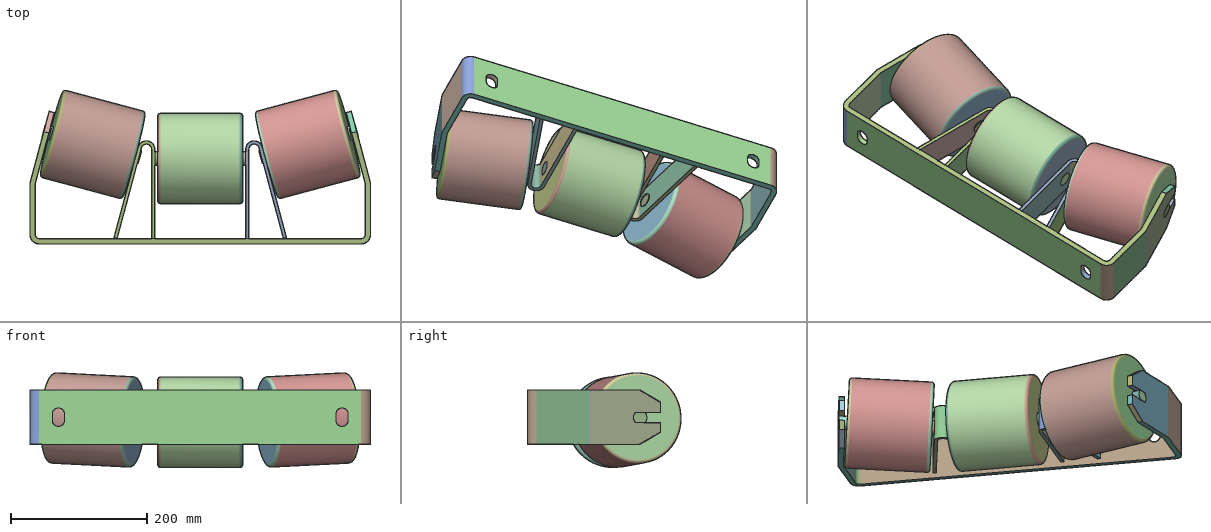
import cadquery as cq
import math

LENGTH = 500.0
BRACKET_WIDTH = 80.0
BRACKET_THICKNESS = 8.0
BEND_RADIUS = 14.0
ARM_BEND_Y = 87.5
TIP_LENGTH = 107.5
LEAN_ANGLE = 15.0
TIP_CHAMFER_ALONG = 31.0
TIP_CHAMFER_ACROSS = 17.5

MOUNT_SLOT_X = 208.0
MOUNT_SLOT_WIDTH = 18.0
MOUNT_SLOT_LENGTH = 27.0

ROLLER_DIAMETER = 133.0
ROLLER_LENGTH = 125.0
ROLLER_FILLET = 4.5
AXLE_DIAMETER = 20.5
AXLE_FLATS = 15.0
FLAT_LEAD = 1.5
END_GAP = 4.0

MIDDLE_ROLLER_Y = 125.5
MIDDLE_ROLLER_Z = -7.5
SIDE_AXLE_Y = 165.5
SIDE_AXLE_Z = -0.5
SIDE_TILT = 2.8

DIVIDER_THICKNESS = 5.0
DIVIDER_WIDTH = 50.0
DIVIDER_BEND_RADIUS = 12.5
DIVIDER_BEND_Y = 139.0

LEAN = math.radians(LEAN_ANGLE)
TILT = math.radians(SIDE_TILT)
ARM_BEND_X = LENGTH / 2 - BEND_RADIUS
HALF_ROLLER = ROLLER_LENGTH / 2
INNER_STUB = END_GAP + DIVIDER_THICKNESS
OUTER_STUB = END_GAP + BRACKET_THICKNESS
FLATS_START = HALF_ROLLER + END_GAP - FLAT_LEAD
FLATS_LENGTH = FLAT_LEAD + BRACKET_THICKNESS
DIVIDER_BEND_X = HALF_ROLLER + END_GAP + DIVIDER_BEND_RADIUS


def leaning_point(center_x, center_y, radius, angle, along=0.0):
    """The point at `angle` on a bend, moved `along` its tangent."""
    return (
        center_x + radius * math.cos(angle) - along * math.sin(angle),
        center_y + radius * math.sin(angle) + along * math.cos(angle),
    )


def side_axis_frame():
    """Axis of the +X side roller; local X points to the back plate, along the arm tip."""
    bend_end_x, bend_end_y = leaning_point(ARM_BEND_X, ARM_BEND_Y, BEND_RADIUS, LEAN)
    axle_end_x = bend_end_x - (SIDE_AXLE_Y - bend_end_y) * math.tan(LEAN)
    axle_end = cq.Vector(axle_end_x, SIDE_AXLE_Y, SIDE_AXLE_Z)
    axis = cq.Vector(
        math.cos(LEAN) * math.cos(TILT),
        math.sin(LEAN) * math.cos(TILT),
        math.sin(TILT),
    )
    center = axle_end - axis * (HALF_ROLLER + OUTER_STUB)
    return cq.Plane(origin=center, xDir=(math.sin(LEAN), -math.cos(LEAN), 0), normal=axis)


MIDDLE_FRAME = cq.Plane(origin=(0, MIDDLE_ROLLER_Y, MIDDLE_ROLLER_Z), xDir=(0, 0, 1), normal=(1, 0, 0))
SIDE_FRAME = side_axis_frame()


def drum(frame):
    return (
        cq.Workplane(frame)
        .workplane(offset=-HALF_ROLLER)
        .circle(ROLLER_DIAMETER / 2)
        .extrude(ROLLER_LENGTH)
        .edges("%CIRCLE")
        .fillet(ROLLER_FILLET)
    )


def round_axle(frame, inner_length, outer_length):
    return (
        cq.Workplane(frame)
        .workplane(offset=-inner_length)
        .circle(AXLE_DIAMETER / 2)
        .extrude(inner_length + outer_length)
    )


def middle_roller():
    half_axle = HALF_ROLLER + INNER_STUB
    return drum(MIDDLE_FRAME).union(round_axle(MIDDLE_FRAME, half_axle, half_axle))


def flat_sided_end(length):
    """The outer axle end of the +X side roller, with two flats that keep it from turning."""
    flat_half = AXLE_FLATS / 2
    arc_edge = math.sqrt((AXLE_DIAMETER / 2) ** 2 - flat_half**2)
    return (
        cq.Workplane(SIDE_FRAME)
        .workplane(offset=FLATS_START)
        .moveTo(-arc_edge, -flat_half)
        .lineTo(arc_edge, -flat_half)
        .threePointArc((AXLE_DIAMETER / 2, 0), (arc_edge, flat_half))
        .lineTo(-arc_edge, flat_half)
        .threePointArc((-AXLE_DIAMETER / 2, 0), (-arc_edge, -flat_half))
        .close()
        .extrude(length)
    )


def side_roller():
    """The roller at the +X end."""
    axle = round_axle(SIDE_FRAME, HALF_ROLLER + INNER_STUB, FLATS_START)
    return drum(SIDE_FRAME).union(axle).union(flat_sided_end(FLATS_LENGTH))


def half_strip():
    """The +X half of the bent strip."""
    inner_radius = BEND_RADIUS - BRACKET_THICKNESS

    def on_corner(radius, angle):
        return leaning_point(ARM_BEND_X, BEND_RADIUS, radius, angle)

    def on_tip(radius, angle, along=0.0):
        return leaning_point(ARM_BEND_X, ARM_BEND_Y, radius, angle, along)

    corner_start = -math.pi / 2
    corner_middle = -math.pi / 4
    return (
        cq.Workplane("XY", origin=(0, 0, -BRACKET_WIDTH / 2))
        .moveTo(0, 0)
        .lineTo(*on_corner(BEND_RADIUS, corner_start))
        .threePointArc(on_corner(BEND_RADIUS, corner_middle), on_corner(BEND_RADIUS, 0))
        .lineTo(*on_tip(BEND_RADIUS, 0))
        .threePointArc(on_tip(BEND_RADIUS, LEAN / 2), on_tip(BEND_RADIUS, LEAN))
        .lineTo(*on_tip(BEND_RADIUS, LEAN, TIP_LENGTH))
        .lineTo(*on_tip(inner_radius, LEAN, TIP_LENGTH))
        .lineTo(*on_tip(inner_radius, LEAN))
        .threePointArc(on_tip(inner_radius, LEAN / 2), on_tip(inner_radius, 0))
        .lineTo(*on_corner(inner_radius, 0))
        .threePointArc(on_corner(inner_radius, corner_middle), on_corner(inner_radius, corner_start))
        .lineTo(0, BRACKET_THICKNESS)
        .close()
        .extrude(BRACKET_WIDTH)
    )


def tip_corner_cutters():
    """The two corners taken off the end of the +X arm tip."""
    end_x, end_y = leaning_point(ARM_BEND_X, ARM_BEND_Y, BEND_RADIUS, LEAN, TIP_LENGTH)
    tip_face = cq.Plane(
        origin=(end_x, end_y, 0),
        xDir=(-math.sin(LEAN), math.cos(LEAN), 0),
        normal=(-math.cos(LEAN), -math.sin(LEAN), 0),
    )
    half_width = BRACKET_WIDTH / 2
    cutters = cq.Workplane(tip_face)
    for side in (1, -1):
        corner = [
            (0, side * half_width),
            (-TIP_CHAMFER_ALONG, side * half_width),
            (0, side * (half_width - TIP_CHAMFER_ACROSS)),
        ]
        cutters = cutters.polyline(corner).close()
    return cutters.extrude(BRACKET_THICKNESS)


def axle_slot():
    """The slot that holds the flat-sided axle end and opens at the end of the +X arm tip."""
    slot_depth = FLATS_LENGTH + BRACKET_THICKNESS
    opening = (
        cq.Workplane(SIDE_FRAME)
        .workplane(offset=FLATS_START)
        .center(-TIP_LENGTH / 2, 0)
        .rect(TIP_LENGTH, AXLE_FLATS)
        .extrude(slot_depth)
    )
    return opening.union(flat_sided_end(slot_depth))


def mount_slots():
    return (
        cq.Workplane("XZ")
        .pushPoints([(-MOUNT_SLOT_X, 0), (MOUNT_SLOT_X, 0)])
        .slot2D(MOUNT_SLOT_LENGTH, MOUNT_SLOT_WIDTH, 90)
        .extrude(-BRACKET_THICKNESS)
    )


def bracket():
    half = half_strip().cut(tip_corner_cutters()).cut(axle_slot())
    return half.union(half.mirror("YZ")).cut(mount_slots())


def divider():
    """The bent strip between the middle roller and the +X side roller, standing on the back plate."""
    inner_radius = DIVIDER_BEND_RADIUS - DIVIDER_THICKNESS
    leg_drop = DIVIDER_BEND_Y + inner_radius * math.sin(LEAN) - BRACKET_THICKNESS
    leg_length = leg_drop / math.cos(LEAN)

    def on_bend(radius, angle, along=0.0):
        return leaning_point(DIVIDER_BEND_X, DIVIDER_BEND_Y, radius, angle, along)

    top = math.pi / 2
    strip = (
        cq.Workplane("XY", origin=(0, 0, MIDDLE_ROLLER_Z - DIVIDER_WIDTH / 2))
        .moveTo(DIVIDER_BEND_X - DIVIDER_BEND_RADIUS, BRACKET_THICKNESS)
        .lineTo(*on_bend(DIVIDER_BEND_RADIUS, math.pi))
        .threePointArc(on_bend(DIVIDER_BEND_RADIUS, top), on_bend(DIVIDER_BEND_RADIUS, LEAN))
        .lineTo(*on_bend(DIVIDER_BEND_RADIUS, LEAN, -leg_length))
        .lineTo(*on_bend(inner_radius, LEAN, -leg_length))
        .lineTo(*on_bend(inner_radius, LEAN))
        .threePointArc(on_bend(inner_radius, top), on_bend(inner_radius, math.pi))
        .lineTo(DIVIDER_BEND_X - inner_radius, BRACKET_THICKNESS)
        .close()
        .extrude(DIVIDER_WIDTH)
    )
    half_axle = HALF_ROLLER + INNER_STUB
    middle_hole = round_axle(MIDDLE_FRAME, 0, half_axle)
    side_hole = round_axle(SIDE_FRAME, half_axle + DIVIDER_THICKNESS, 0)
    return strip.cut(middle_hole).cut(side_hole)


bodies = [bracket().solids().val(), middle_roller().solids().val()]
for make_body in (side_roller, divider):
    right_body = make_body()
    left_body = right_body.mirror("YZ")
    bodies += [right_body.solids().val(), left_body.solids().val()]

result = cq.Compound.makeCompound(bodies)